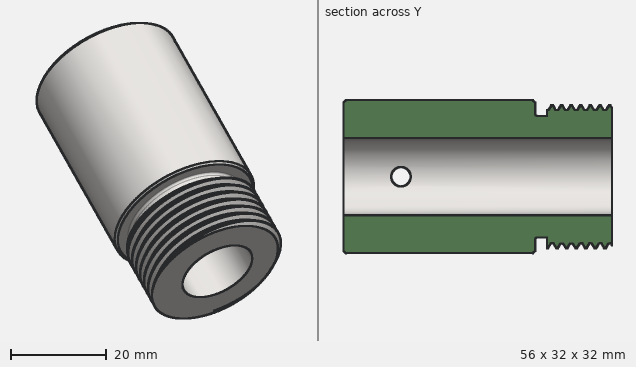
import cadquery as cq
import math

total_length = 56.0
body_diameter = 32.0
body_length = 40.0
body_chamfer = 0.5
bore_diameter = 16.0

neck_diameter = 25.4
neck_length = 2.4
neck_fillet = 0.5

thread_diameter = 30.0
pitch = 2.0
flank_half_angle = math.radians(30)
sharp_height = pitch / (2 * math.tan(flank_half_angle))
thread_depth = 5 / 8 * sharp_height
crest_flat = pitch / 8
crest_x_at_plus_y = 43.0
lead_in_turns = 2
foot_sink = 0.1

side_hole_diameter = 4.0
side_hole_x = 12.0

thread_start = body_length + neck_length
thread_length = total_length - thread_start
thread_radius = thread_diameter / 2
root_radius = thread_radius - thread_depth


def x_cylinder(radius, start, length):
    """Cylinder on the X axis, running from start in +X."""
    end_plane = cq.Plane(origin=(start, 0, 0), xDir=(0, 0, 1), normal=(1, 0, 0))
    return cq.Workplane(end_plane).circle(radius).extrude(length)


def make_body():
    """Main cylinder, chamfered at both ends."""
    return x_cylinder(body_diameter / 2, 0, body_length).edges().chamfer(body_chamfer)


def make_neck():
    """Relief neck with a concave fillet against the body shoulder."""
    radius = neck_diameter / 2
    arc_offset = neck_fillet * (1 - math.sqrt(0.5))
    profile = (
        cq.Workplane("XZ")
        .moveTo(body_length, 0)
        .lineTo(body_length, radius + neck_fillet)
        .threePointArc(
            (body_length + arc_offset, radius + arc_offset),
            (body_length + neck_fillet, radius),
        )
        .lineTo(thread_start, radius)
        .lineTo(thread_start, 0)
        .close()
    )
    return profile.revolve(360, (0, 0, 0), (1, 0, 0))


def make_thread():
    """Root cylinder with a right-hand helical ridge, cut square at both ends."""
    ridge_start = crest_x_at_plus_y - lead_in_turns * pitch
    turns = math.ceil((total_length - ridge_start) / pitch) + 1
    foot_radius = root_radius - foot_sink
    crest_half = crest_flat / 2
    foot_half = crest_half + (thread_radius - foot_radius) * math.tan(flank_half_angle)

    helix = cq.Wire.makeHelix(pitch, turns * pitch, thread_radius)
    ridge = (
        cq.Workplane("XZ")
        .moveTo(foot_radius, -foot_half)
        .lineTo(thread_radius, -crest_half)
        .lineTo(thread_radius, crest_half)
        .lineTo(foot_radius, foot_half)
        .close()
        .sweep(cq.Workplane(obj=helix), isFrenet=True)
    )
    ridge = (
        ridge.rotate((0, 0, 0), (0, 0, 1), 90)
        .rotate((0, 0, 0), (0, 1, 0), 90)
        .translate((ridge_start, 0, 0))
    )
    envelope = x_cylinder(body_diameter / 2, thread_start, thread_length)
    core = x_cylinder(root_radius, thread_start, thread_length)
    return core.union(ridge.intersect(envelope))


def make_side_hole():
    """Radial drill from the axis out through +Y."""
    return (
        cq.Workplane("XZ", origin=(side_hole_x, 0, 0))
        .circle(side_hole_diameter / 2)
        .extrude(-body_diameter)
    )


bore = x_cylinder(bore_diameter / 2, 0, total_length)
sleeve = make_body().union(make_neck()).union(make_thread())
result = sleeve.cut(bore).cut(make_side_hole())